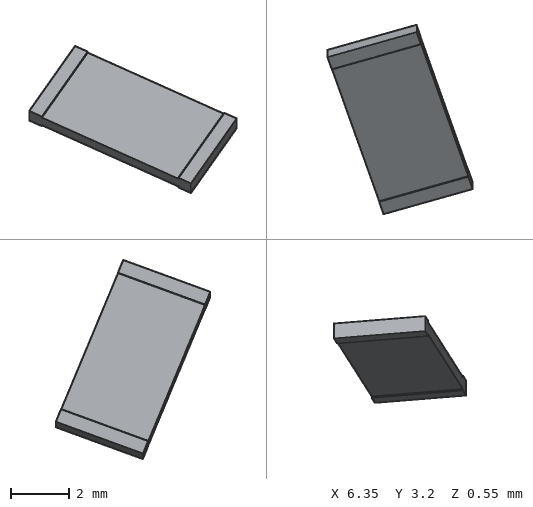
import cadquery as cq

length = 6.35
width = 3.2
height = 0.55

terminal_length = 0.5
terminal_step = 0.055

body_length = length - 2 * terminal_length
body_height = height - 2 * terminal_step


def make_body():
    """Thin central slab, centred on the origin."""
    return cq.Workplane("XY").box(body_length, width, body_height)


def make_terminal(side):
    """Full-height end block; side is -1 for the -X end and +1 for the +X end."""
    centre_x = side * (length - terminal_length) / 2
    return cq.Workplane("XY").box(terminal_length, width, height).translate((centre_x, 0, 0))


result = make_body()
for side in (-1, 1):
    result = result.union(make_terminal(side))
result = result.clean()